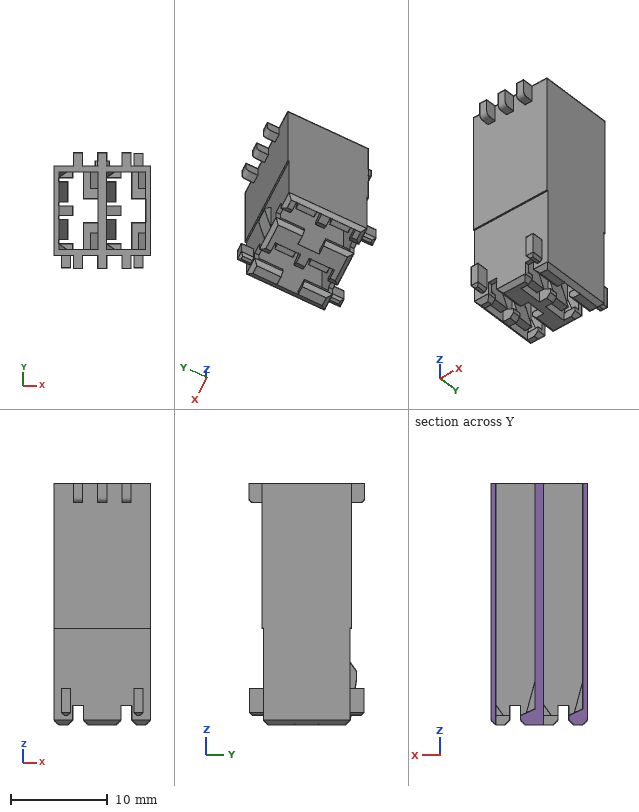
import cadquery as cq

height = 25.0
width = 10.0
upper_depth = 9.3
lower_depth = 9.0
step_height = 10.0
bottom_chamfer = 0.5

side_wall = 0.5
divider = 0.9
cell_depth = 8.0
cell_width = (width - 2 * side_wall - divider) / 2
cell_pitch = cell_width + divider
cell_centers = (-cell_pitch / 2, cell_pitch / 2)
half_cell = cell_depth / 2

slot_width = 1.1
slot_height = 2.0
slot_pitch = 5.0

floor_height = 1.0
ledge_inner_y = 1.22
corner_ledge = 0.6
middle_ledge = 1.0
middle_ledge_rise = 0.68

lance_inner_y = 0.9
lance_outer_y = 3.0
lance_reach = 0.95
lance_height = 3.5
ramp_inner_y = 2.32
ramp_reach = 0.78
ramp_height = 1.1
gusset_x = 0.82
gusset_y = 0.58
gusset_height = 2.18

rib_width = 0.95
rib_height = 2.0
rib_pitch = 2.5
rib_span = 12.0
rib_radius = 0.5

lug_width = 0.95
lug_x = 3.75
lug_reach = 5.92
lug_bottom = 1.0
lug_top = 3.8
lug_chamfer = 0.3

latch_width = 1.45
latch_reach = 5.15
latch_bottom = 0.5
latch_crest_low = 4.62
latch_crest_high = 5.58
latch_top = 6.5


def block(x_range, y_range, z_range):
    """Box given by its limits along each axis."""
    sizes = [high - low for low, high in (x_range, y_range, z_range)]
    corner = (x_range[0], y_range[0], z_range[0])
    return cq.Workplane("XY").box(*sizes, centered=False).translate(corner)


def prism_along_y(xz_points, y_low, y_high):
    """Extrude an XZ outline between two Y positions."""
    outline = cq.Workplane("XZ", origin=(0, y_high, 0)).polyline(xz_points).close()
    return outline.extrude(y_high - y_low)


def mirrored_in_depth(shape):
    """The shape together with its mirror image across the XZ plane."""
    return shape.union(shape.mirror("XZ"))


def make_body():
    lower = cq.Workplane("XY").box(width, lower_depth, step_height, centered=(True, True, False))
    lower = lower.faces("<Z").edges().chamfer(bottom_chamfer)
    upper_height = height - step_height
    upper = cq.Workplane("XY").box(width, upper_depth, upper_height, centered=(True, True, False))
    return lower.union(upper.translate((0, 0, step_height)))


def make_cell(center_x):
    """Cell cavity with its floor openings, leaving the ledges standing."""
    left = center_x - cell_width / 2
    right = center_x + cell_width / 2
    slot_x = slot_pitch / 2 if center_x > 0 else -slot_pitch / 2
    slot_left = slot_x - slot_width / 2
    slot_right = slot_x + slot_width / 2
    cavity = block((left, right), (-half_cell, half_cell), (0, height))

    right_ledge = block((slot_right, right), (ledge_inner_y, half_cell), (0, floor_height))
    corner = block((left, slot_left), (half_cell - corner_ledge, half_cell), (0, floor_height))
    ledges = mirrored_in_depth(right_ledge.union(corner))

    middle_outline = [
        (left, 0),
        (slot_left, 0),
        (slot_left, floor_height),
        (left, floor_height + middle_ledge_rise),
    ]
    middle = prism_along_y(middle_outline, -middle_ledge / 2, middle_ledge / 2)
    return cavity.cut(ledges).cut(middle)


def make_slot(slot_x):
    """Slot along Y whose lower edges are chamfered."""
    half = slot_width / 2
    mouth = half + bottom_chamfer
    outline = [
        (slot_x - mouth, 0),
        (slot_x - half, bottom_chamfer),
        (slot_x - half, slot_height),
        (slot_x + half, slot_height),
        (slot_x + half, bottom_chamfer),
        (slot_x + mouth, 0),
    ]
    return prism_along_y(outline, -lower_depth / 2, lower_depth / 2)


def make_wedges(center_x):
    """Sloped lances, ramps and corner gussets inside one cell."""
    left = center_x - cell_width / 2
    right = center_x + cell_width / 2

    lance_outline = [
        (left, floor_height),
        (left + lance_reach, floor_height),
        (left, floor_height + lance_height),
    ]
    lance = prism_along_y(lance_outline, lance_inner_y, lance_outer_y)

    ramp_outline = [
        (right, floor_height),
        (right - ramp_reach, floor_height),
        (right, floor_height + ramp_height),
    ]
    ramp = prism_along_y(ramp_outline, ramp_inner_y, half_cell)

    gusset = make_gusset().translate((left, half_cell, floor_height))
    return mirrored_in_depth(lance.union(ramp).union(gusset))


def make_gusset():
    """Corner tetrahedron with its right-angled corner at the origin."""
    corner = cq.Vector(0, 0, 0)
    along_x = cq.Vector(gusset_x, 0, 0)
    along_y = cq.Vector(0, -gusset_y, 0)
    apex = cq.Vector(0, 0, gusset_height)
    triangles = [
        (corner, along_x, along_y),
        (corner, along_x, apex),
        (corner, along_y, apex),
        (along_x, along_y, apex),
    ]
    faces = [cq.Face.makeFromWires(cq.Wire.makePolygon(points, close=True)) for points in triangles]
    return cq.Workplane(cq.Solid.makeSolid(cq.Shell.makeShell(faces)))


def make_rib(center_x):
    """Rib on the front rim, rounded at its lower outer edge."""
    half = rib_width / 2
    rib = block(
        (center_x - half, center_x + half),
        (-rib_span / 2, -half_cell),
        (height - rib_height, height),
    )
    return rib.edges("<Y and <Z").fillet(rib_radius)


def make_lug(center_x):
    """Lug on the front face, chamfered at its lower end."""
    half = lug_width / 2
    lug = block(
        (center_x - half, center_x + half),
        (-lug_reach, -half_cell),
        (lug_bottom, lug_top),
    )
    lower_edges = lug.faces("<Z").edges("not >Y")
    return lower_edges.chamfer(lug_chamfer)


def make_latch():
    outline = [
        (half_cell, latch_bottom),
        (lower_depth / 2, latch_bottom),
        (latch_reach, latch_crest_low),
        (latch_reach, latch_crest_high),
        (lower_depth / 2, latch_top),
        (half_cell, latch_top),
    ]
    profile = cq.Workplane("YZ").polyline(outline).close()
    return profile.extrude(latch_width / 2, both=True)


result = make_body()
for rib_x in (-rib_pitch, 0, rib_pitch):
    result = result.union(mirrored_in_depth(make_rib(rib_x)))
result = result.union(make_lug(-lug_x))
result = result.union(mirrored_in_depth(make_lug(lug_x)))
result = result.union(make_latch())
for cell_x in cell_centers:
    result = result.cut(make_cell(cell_x))
for slot_x in (-slot_pitch / 2, slot_pitch / 2):
    result = result.cut(make_slot(slot_x))
for cell_x in cell_centers:
    result = result.union(make_wedges(cell_x))